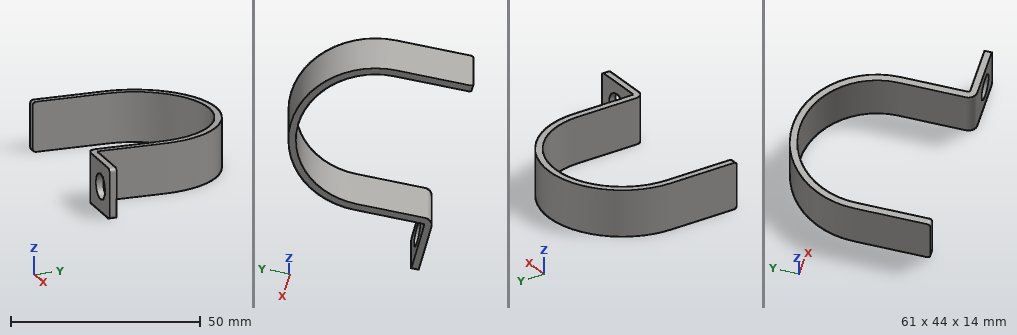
import cadquery as cq

thickness = 2.0
width = 14.0
loop_radius = 23.0
leg_length = 21.0
flange_reach = 38.0
bend_inner_radius = 0.5
corner_radius = 1.0
hole_diameter = 7.0
hole_edge_distance = 7.0

loop_inner_radius = loop_radius - thickness
bend_outer_radius = bend_inner_radius + thickness
bend_x = loop_radius + bend_inner_radius
bend_y = -leg_length + bend_outer_radius
flange_back_y = -leg_length + thickness


def bent_strip():
    """Half-round loop with two straight legs, the +X leg bent out into a flange."""
    return (
        cq.Workplane("XY")
        .workplane(offset=-width / 2)
        .moveTo(-loop_radius, -leg_length)
        .lineTo(-loop_radius, 0)
        .threePointArc((0, loop_radius), (loop_radius, 0))
        .lineTo(loop_radius, bend_y)
        .radiusArc((bend_x, flange_back_y), -bend_inner_radius)
        .lineTo(flange_reach, flange_back_y)
        .lineTo(flange_reach, -leg_length)
        .lineTo(bend_x, -leg_length)
        .radiusArc((loop_inner_radius, bend_y), bend_outer_radius)
        .lineTo(loop_inner_radius, 0)
        .threePointArc((0, loop_inner_radius), (-loop_inner_radius, 0))
        .lineTo(-loop_inner_radius, -leg_length)
        .close()
        .extrude(width)
    )


def round_end_corners(strip):
    """Round the two corners of the flange tip and of the free leg end."""
    strip = strip.faces(">X").edges("|Y").fillet(corner_radius)
    leg_end = cq.selectors.BoxSelector(
        (-loop_radius - thickness, -leg_length - thickness, -width),
        (-loop_inner_radius + thickness, -leg_length + thickness, width),
    )
    return strip.edges(leg_end).edges("|X").fillet(corner_radius)


def flange_hole():
    """Cylinder along Y that pierces the flange."""
    hole_x = flange_reach - hole_edge_distance
    return (
        cq.Workplane("XZ", origin=(hole_x, -leg_length, 0))
        .circle(hole_diameter / 2)
        .extrude(-thickness)
    )


result = round_end_corners(bent_strip()).cut(flange_hole())